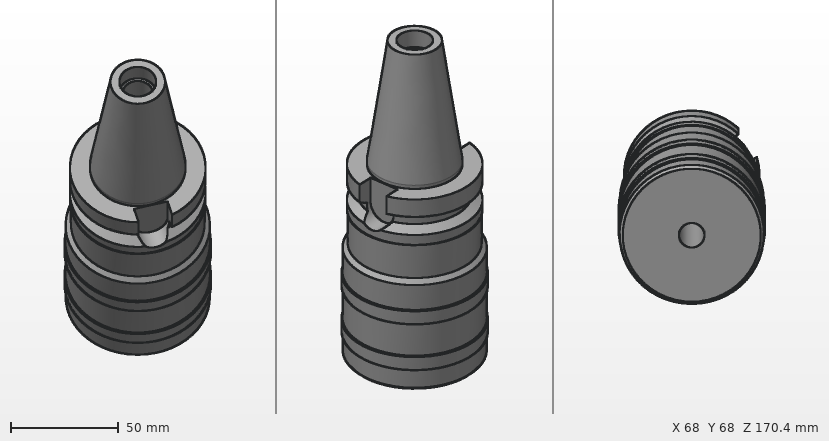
import cadquery as cq
import math


taper_ratio = 7 / 24
gauge_radius = 44.45 / 2
taper_length = 65.4
taper_end_radius = gauge_radius - taper_ratio * taper_length / 2

flange_radius = 31.5
flange_top = -2.0
flange_bottom = -27.0
groove_radius = 26.5
groove_center = -16.5
groove_floor_width = 4.0
groove_flank_angle = 30.0
groove_flank_height = (flange_radius - groove_radius) * math.tan(math.radians(groove_flank_angle))
groove_floor_top = groove_center + groove_floor_width / 2
groove_floor_bottom = groove_center - groove_floor_width / 2

neck_radius = 31.1
body_radius = 33.5
shoulder_top = -45.1
shoulder_height = body_radius - neck_radius
body_bottom = -105.0
nose_chamfer = 1.5

band_radius = 34.0
band_chamfer = band_radius - body_radius
band_height = 8.0
band_tops = (-61.0, -86.0)

slot_width = 16.1
slot_radius = slot_width / 2
slot_floor_distance = 22.5
slot_arc_center = -15.0

counterbore_radius = 8.5
counterbore_depth = 9.0
thread_bore_radius = 7.0
thread_bore_depth = 30.0
through_bore_radius = 5.9


def revolve_outline(points):
    """Revolve a closed (radius, height) outline about the Z axis."""
    return cq.Workplane("YZ").polyline(points).close().revolve(360, (0, 0), (0, 1))


def shank_flange_and_body():
    return revolve_outline([
        (0, taper_length),
        (taper_end_radius, taper_length),
        (gauge_radius, 0),
        (gauge_radius, flange_top),
        (flange_radius, flange_top),
        (flange_radius, groove_floor_top + groove_flank_height),
        (groove_radius, groove_floor_top),
        (groove_radius, groove_floor_bottom),
        (flange_radius, groove_floor_bottom - groove_flank_height),
        (flange_radius, flange_bottom),
        (neck_radius, flange_bottom),
        (neck_radius, shoulder_top),
        (body_radius, shoulder_top - shoulder_height),
        (body_radius, body_bottom + nose_chamfer),
        (body_radius - nose_chamfer, body_bottom),
        (0, body_bottom),
    ])


def band(top):
    """Raised band, chamfered at both edges down to the body surface."""
    bottom = top - band_height
    return revolve_outline([
        (0, top),
        (body_radius, top),
        (band_radius, top - band_chamfer),
        (band_radius, bottom + band_chamfer),
        (body_radius, bottom),
        (0, bottom),
    ])


def drive_slot(side):
    """Round-bottomed slot cutter; side is +1 for +X and -1 for -X."""
    slot_depth = flange_radius - slot_floor_distance
    return (
        cq.Workplane("YZ", origin=(side * slot_floor_distance, 0, 0))
        .moveTo(-slot_radius, flange_top)
        .lineTo(-slot_radius, slot_arc_center)
        .threePointArc((0, slot_arc_center - slot_radius), (slot_radius, slot_arc_center))
        .lineTo(slot_radius, flange_top)
        .close()
        .extrude(side * slot_depth)
    )


def bore(radius, depth):
    """Bore cutter sunk from the small end of the taper."""
    return cq.Workplane("XY", origin=(0, 0, taper_length)).circle(radius).extrude(-depth)


result = shank_flange_and_body()

for band_top in band_tops:
    result = result.union(band(band_top))

for slot_side in (1, -1):
    result = result.cut(drive_slot(slot_side))

result = result.cut(bore(counterbore_radius, counterbore_depth))
result = result.cut(bore(thread_bore_radius, thread_bore_depth))
result = result.cut(bore(through_bore_radius, taper_length - body_bottom))